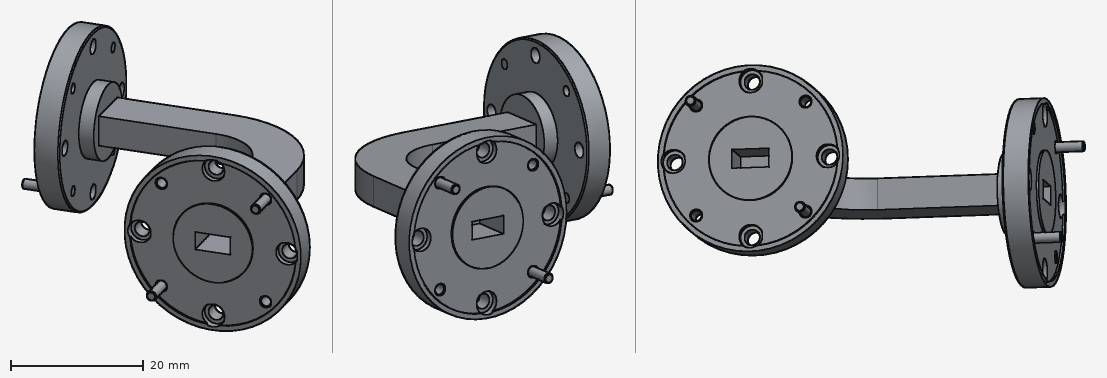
import cadquery as cq
import math

OUTER_LENGTH = 56.25
FLANGE_DIAMETER = 28.6
FLANGE_RADIUS = FLANGE_DIAMETER / 2
PIN_PROJECTION = 4.0
FACE_DISTANCE = OUTER_LENGTH - FLANGE_RADIUS - PIN_PROJECTION

FLANGE_THICKNESS = 4.05
FLANGE_BACK_CHAMFER = 0.2
COLLAR_DIAMETER = 12.1
COLLAR_LENGTH = 2.4
FLANGE_DEPTH = FLANGE_THICKNESS + COLLAR_LENGTH

RECESS_OUTER_DIAMETER = 26.9
RECESS_INNER_DIAMETER = 12.8
RECESS_DEPTH = 0.35

BOLT_CIRCLE_RADIUS = 11.9
HOLE_COUNT = 4
SCREW_START_ANGLE = 0
PIN_START_ANGLE = 180 / HOLE_COUNT
SCREW_HOLE_DIAMETER = 2.35
COUNTERBORE_DIAMETER = 3.6
COUNTERBORE_DEPTH = 1.35

PIN_DIAMETER = 1.6
PIN_TIP_CHAMFER = 0.15
PIN_HOLE_CHAMFER = 0.15
PINS_PER_FLANGE = 2

TUBE_WIDTH = 7.75
TUBE_HEIGHT = 4.85
BORE_WIDTH = 5.7
BORE_HEIGHT = 2.85
BEND_RADIUS = 12.6
STRAIGHT_LENGTH = FACE_DISTANCE - BEND_RADIUS

X_END = cq.Plane(origin=(-FACE_DISTANCE, 0, 0), xDir=(0, -1, 0), normal=(-1, 0, 0))
Y_END = cq.Plane(origin=(0, -FACE_DISTANCE, 0), xDir=(1, 0, 0), normal=(0, -1, 0))

ENDS = [(X_END, 180 - PIN_START_ANGLE), (Y_END, PIN_START_ANGLE)]


def circle_points(start_angle, count):
    """Evenly spaced points on the bolt circle, in local flange coordinates."""
    angles = [math.radians(start_angle + 360 / count * i) for i in range(count)]
    return [(BOLT_CIRCLE_RADIUS * math.cos(a), BOLT_CIRCLE_RADIUS * math.sin(a)) for a in angles]


def bent_bar(width, height, x_run):
    """Bar from the Y end face around the bend, then straight along -X for x_run (which may be 0)."""
    bend_middle = -BEND_RADIUS * (1 - math.sqrt(0.5))
    path = (
        cq.Workplane("XY")
        .moveTo(0, -FACE_DISTANCE)
        .lineTo(0, -BEND_RADIUS)
        .threePointArc((bend_middle, bend_middle), (-BEND_RADIUS, 0))
    )
    if x_run > 0:
        path = path.lineTo(-BEND_RADIUS - x_run, 0)
    return cq.Workplane(Y_END).rect(width, height).sweep(path)


def flange_blank(face):
    """Flange disc with its collar, before any hole is cut."""
    back_face = cq.selectors.DirectionMinMaxSelector(face.zDir, False)
    disc = cq.Workplane(face).circle(FLANGE_RADIUS).extrude(-FLANGE_THICKNESS)
    disc = disc.faces(back_face).chamfer(FLANGE_BACK_CHAMFER)
    collar = cq.Workplane(face).circle(COLLAR_DIAMETER / 2).extrude(-FLANGE_DEPTH)
    return disc.union(collar)


def face_recess(face):
    """Ring removed between the centre boss and the rim of the front face."""
    return (
        cq.Workplane(face)
        .circle(RECESS_OUTER_DIAMETER / 2)
        .circle(RECESS_INNER_DIAMETER / 2)
        .extrude(-RECESS_DEPTH)
    )


def screw_holes(face):
    """Counterbored through holes."""
    centres = cq.Workplane(face).pushPoints(circle_points(SCREW_START_ANGLE, HOLE_COUNT))
    holes = centres.circle(SCREW_HOLE_DIAMETER / 2).extrude(-FLANGE_THICKNESS)
    counterbores = centres.circle(COUNTERBORE_DIAMETER / 2).extrude(-COUNTERBORE_DEPTH)
    return holes.union(counterbores)


def pin_holes(face):
    """Through holes chamfered at the recess floor."""
    points = circle_points(PIN_START_ANGLE, HOLE_COUNT)
    holes = cq.Workplane(face).pushPoints(points).circle(PIN_DIAMETER / 2).extrude(-FLANGE_THICKNESS)
    chamfers = (
        cq.Workplane(face)
        .workplane(offset=-RECESS_DEPTH)
        .pushPoints(points)
        .circle(PIN_DIAMETER / 2 + PIN_HOLE_CHAMFER)
        .extrude(-PIN_HOLE_CHAMFER, taper=45)
    )
    return holes.union(chamfers)


def make_waveguide():
    """Bent tube with a drilled flange at each end."""
    body = bent_bar(TUBE_WIDTH, TUBE_HEIGHT, STRAIGHT_LENGTH)
    for face, _ in ENDS:
        body = body.union(flange_blank(face))
    for face, _ in ENDS:
        body = body.cut(face_recess(face)).cut(screw_holes(face)).cut(pin_holes(face))

    bore = bent_bar(BORE_WIDTH, BORE_HEIGHT, 0)
    blind_opening = cq.Workplane(X_END).rect(BORE_WIDTH, BORE_HEIGHT).extrude(-FLANGE_DEPTH)
    return body.cut(bore).cut(blind_opening)


def make_pin(face, point):
    """Dowel pin filling its flange hole, with a chamfered outer tip."""
    tip = cq.selectors.DirectionMinMaxSelector(face.zDir, True)
    return (
        cq.Workplane(face)
        .workplane(offset=-FLANGE_THICKNESS)
        .center(*point)
        .circle(PIN_DIAMETER / 2)
        .extrude(FLANGE_THICKNESS + PIN_PROJECTION)
        .faces(tip)
        .chamfer(PIN_TIP_CHAMFER)
    )


waveguide = make_waveguide()

pins = []
for end_face, upper_pin_angle in ENDS:
    for pin_point in circle_points(upper_pin_angle, PINS_PER_FLANGE):
        pins.append(make_pin(end_face, pin_point).val())

result = cq.Compound.makeCompound([waveguide.val(), *pins])